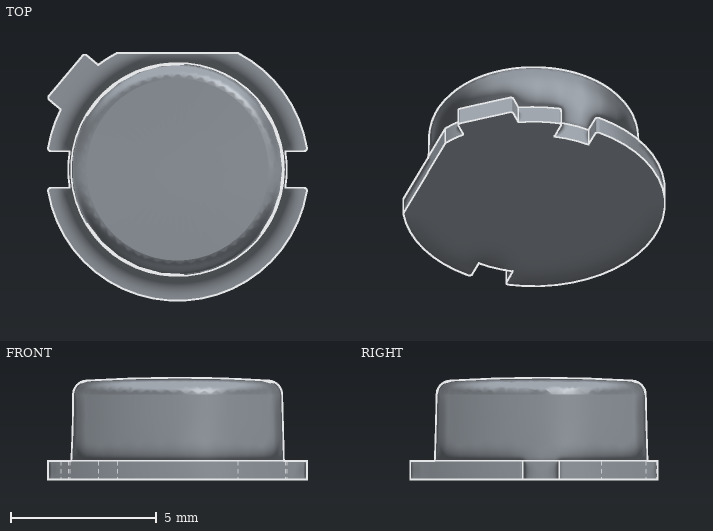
import cadquery as cq
import math

flange_radius = 4.5
flange_thickness = 0.65
flat_distance = 4.0
corner_radius = 0.1

notch_width = 1.25
notch_floor_radius = 3.75

tab_angle = 140.0
tab_width = 2.0
tab_reach = 5.0

total_height = 3.5
button_base_radius = 3.65
draft_angle = 1.5
dome_radius = 50.0
rim_fillet = 0.5


def make_flange_disc():
    """Round flange with one straight side on +Y."""
    disc = cq.Workplane("XY").circle(flange_radius).extrude(flange_thickness)
    beyond_flat = (
        cq.Workplane("XY")
        .center(0, flat_distance + flange_radius)
        .rect(2 * flange_radius, 2 * flange_radius)
        .extrude(flange_thickness)
    )
    return disc.cut(beyond_flat)


def make_tab():
    """Rectangular tab running from the axis, rounded at its outer corners."""
    return (
        cq.Workplane("XY")
        .center(tab_reach / 2, 0)
        .rect(tab_reach, tab_width)
        .extrude(flange_thickness)
        .edges("|Z and >X")
        .fillet(corner_radius)
        .rotate((0, 0, 0), (0, 0, 1), tab_angle)
    )


def cut_notches(disc):
    """Cut both side notches down to the round core and round their mouths."""
    slot = cq.Workplane("XY").rect(2 * flange_radius, notch_width).extrude(flange_thickness)
    core = cq.Workplane("XY").circle(notch_floor_radius).extrude(flange_thickness)
    notched = disc.cut(slot.cut(core))

    mouth_y = notch_width / 2
    mouth_x = math.sqrt(flange_radius**2 - mouth_y**2)
    for x in (-mouth_x, mouth_x):
        for y in (-mouth_y, mouth_y):
            corner = cq.selectors.NearestToPointSelector((x, y, flange_thickness / 2))
            notched = notched.edges(corner).fillet(corner_radius)
    return notched


def make_button():
    """Drafted round button with a shallow spherical top and a rounded rim."""
    wall = (
        cq.Workplane("XY", origin=(0, 0, flange_thickness))
        .circle(button_base_radius)
        .extrude(total_height - flange_thickness, taper=draft_angle)
    )
    dome = cq.Workplane("XY", origin=(0, 0, total_height - dome_radius)).sphere(dome_radius)
    dome_drop = dome_radius - math.sqrt(dome_radius**2 - button_base_radius**2)
    rim = cq.selectors.NearestToPointSelector((0, 0, total_height - dome_drop))
    return wall.intersect(dome).edges(rim).fillet(rim_fillet)


flange = cut_notches(make_flange_disc()).union(make_tab())
result = flange.union(make_button())